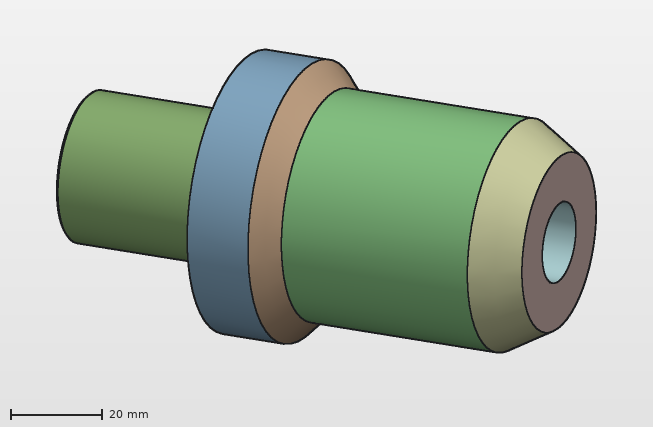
import cadquery as cq
import math

total_length = 113.0
stem_length = 38.0
flange_width = 14.6
tip_length = 10.4

bore_diameter = 18.1
stem_diameter = 34.0
flange_diameter = 63.0
body_diameter = 52.0

stem_chamfer = 0.6
tip_angle = 30.0

stem_radius = stem_diameter / 2
flange_radius = flange_diameter / 2
body_radius = body_diameter / 2
tip_radius = body_radius - tip_length * math.tan(math.radians(tip_angle))

flange_end = stem_length + flange_width
body_start = flange_end + flange_radius - body_radius
tip_start = total_length - tip_length


def turned_body():
    """Solid of revolution about X: stem, flange, shoulder cone, body and tip cone."""
    profile = [
        (0, 0),
        (0, stem_radius - stem_chamfer),
        (stem_chamfer, stem_radius),
        (stem_length, stem_radius),
        (stem_length, flange_radius),
        (flange_end, flange_radius),
        (body_start, body_radius),
        (tip_start, body_radius),
        (total_length, tip_radius),
        (total_length, 0),
    ]
    return cq.Workplane("XY").polyline(profile).close().revolve(360, (0, 0, 0), (1, 0, 0))


def through_bore():
    """Cylinder along X that removes the bore over the full length."""
    return cq.Workplane("YZ").circle(bore_diameter / 2).extrude(total_length)


result = turned_body().cut(through_bore())